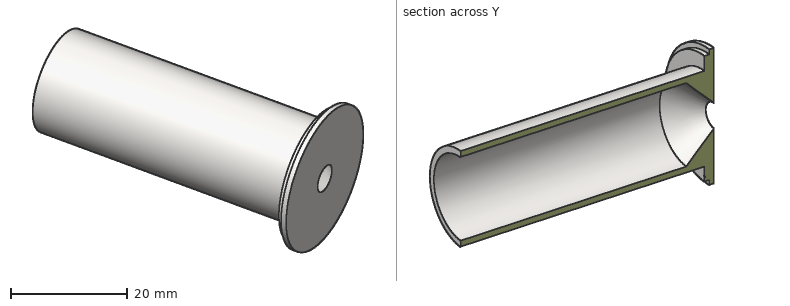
import cadquery as cq

total_length = 52.5
flange_thickness = 1.0
step_thickness = 1.0

flange_diameter = 27.0
step_diameter = 25.0
tube_diameter = 19.05
bore_diameter = 16.5
outlet_diameter = 5.0

funnel_depth = (bore_diameter - outlet_diameter) / 2

open_end = -total_length / 2
flange_face = total_length / 2
flange_back = flange_face - flange_thickness
step_back = flange_back - step_thickness
funnel_mouth = flange_face - funnel_depth


def cylinder(diameter, start, end):
    """Solid cylinder along X between two stations."""
    return cq.Workplane("YZ", origin=(start, 0, 0)).circle(diameter / 2).extrude(end - start)


def cone(start_diameter, end_diameter, start, end):
    """Solid truncated cone about X between two stations."""
    return (
        cq.Workplane("XY")
        .moveTo(start, 0)
        .lineTo(start, start_diameter / 2)
        .lineTo(end, end_diameter / 2)
        .lineTo(end, 0)
        .close()
        .revolve(360, (0, 0, 0), (1, 0, 0))
    )


body = cylinder(tube_diameter, open_end, flange_face)
body = body.union(cylinder(step_diameter, step_back, flange_face))
body = body.union(cylinder(flange_diameter, flange_back, flange_face))

body = body.cut(cylinder(bore_diameter, open_end, funnel_mouth))
result = body.cut(cone(bore_diameter, outlet_diameter, funnel_mouth, flange_face))